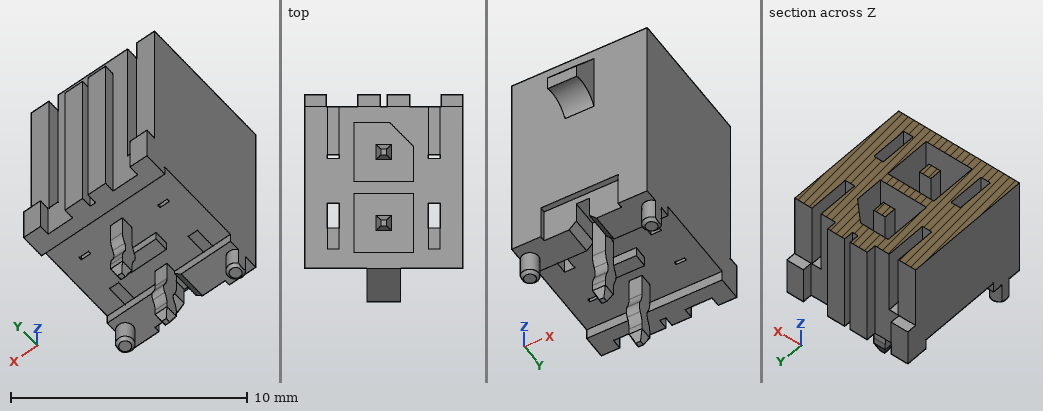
import cadquery as cq


WIDTH = 6.7
DEPTH = 6.84
HEIGHT = 9.9
TOTAL_HEIGHT = 13.1
FRONT = -DEPTH / 2
BACK = DEPTH / 2

CHANNEL_HEIGHT = 0.52
CHANNEL_FRONT = -1.7
CHANNEL_BACK = 2.72

SPACER_WIDTH = 1.91
SPACER_DEPTH = 0.7
SPACER_CLEARANCE = 0.04

PITCH = 3.0
ROW_POSITIONS = (-PITCH / 2, PITCH / 2)
CAVITY_WIDTH = 2.53
CAVITY_DEPTH = 2.49
CAVITY_FLOOR = 2.28
KEY_CHAMFER = 1.01

CONTACT_SIZE = 0.64
CONTACT_TOP = 7.2
CONTACT_BOTTOM = HEIGHT - TOTAL_HEIGHT
TIP_SIZE = 0.25
TIP_LENGTH = 0.48
BEND_OFFSET = 0.22
BEND_TOP = -0.6
BEND_BOTTOM = -2.4
BEND_ARC_HEIGHT = 0.59

SLOT_WIDTH = 0.5
SLOT_X = 2.14
FRONT_SLOT_START = -2.61
FRONT_SLOT_END = -0.67
REAR_SLOT_START = 1.23
REAR_LEDGE_START = 1.38

RIB_DEPTH = 0.51
OUTER_RIB_WIDTH = 0.92
OUTER_RIB_HEIGHT = 1.91
INNER_RIB_WIDTH = 0.95
INNER_RIB_GAP = 0.29
INNER_RIB_HEIGHT = 8.75

RECESS_WIDTH = 3.81
RECESS_HEIGHT = 1.74
RECESS_DEPTH = 0.28
GROOVE_HEIGHT = 1.39
GROOVE_FLARE = 0.35

LATCH_WIDTH = 1.43
LATCH_REACH = 1.41
LATCH_TOP = 9.4
LATCH_NOSE_TOP = 7.75
LATCH_NOSE_BOTTOM = 7.1
LATCH_ARC_REACH = 1.03
LATCH_ARC_TOP = 7.17
LATCH_BOTTOM = 6.52

PEG_DIAMETER = 0.84
PEG_LENGTH = 1.15
PEG_CHAMFER = 0.15
PEG_X = 3.0
PEG_Y = -2.49


def block(x_range, y_range, z_range):
    """Box between the given (low, high) limits."""
    limits = (x_range, y_range, z_range)
    sizes = [high - low for low, high in limits]
    corner = tuple(low for low, high in limits)
    return cq.Workplane("XY").box(*sizes, centered=False).translate(corner)


def centred(size, middle=0):
    """Low and high limits of a length about its middle."""
    return (middle - size / 2, middle + size / 2)


def make_housing():
    body = block(centred(WIDTH), (FRONT, BACK), (0, HEIGHT))
    for side in (-1, 1):
        outer_x = side * (WIDTH - OUTER_RIB_WIDTH) / 2
        inner_x = side * (INNER_RIB_GAP + INNER_RIB_WIDTH) / 2
        rib_y = (BACK, BACK + RIB_DEPTH)
        body = body.union(block(centred(OUTER_RIB_WIDTH, outer_x), rib_y, (0, OUTER_RIB_HEIGHT)))
        body = body.union(block(centred(INNER_RIB_WIDTH, inner_x), rib_y, (0, INNER_RIB_HEIGHT)))
    body = body.cut(block(centred(WIDTH), (CHANNEL_FRONT, CHANNEL_BACK), (0, CHANNEL_HEIGHT)))
    return body.union(
        block(centred(SPACER_WIDTH), centred(SPACER_DEPTH), (SPACER_CLEARANCE, CHANNEL_HEIGHT))
    )


def cut_cavities(body):
    for row_y in ROW_POSITIONS:
        cavity = block(
            centred(CAVITY_WIDTH), centred(CAVITY_DEPTH, row_y), (CAVITY_FLOOR, HEIGHT)
        )
        if row_y > 0:
            cavity = cavity.edges("|Z and >X and >Y").chamfer(KEY_CHAMFER)
        body = body.cut(cavity)
    return body


def cut_slots(body):
    for side in (-1, 1):
        slot_x = centred(SLOT_WIDTH, side * SLOT_X)
        body = body.cut(block(slot_x, (FRONT_SLOT_START, FRONT_SLOT_END), (CHANNEL_HEIGHT, HEIGHT)))
        body = body.cut(block(slot_x, (REAR_SLOT_START, BACK), (OUTER_RIB_HEIGHT, HEIGHT)))
        body = body.cut(
            block(slot_x, (REAR_SLOT_START, REAR_LEDGE_START), (CHANNEL_HEIGHT, HEIGHT))
        )
    return body


def cut_front_recess(body):
    body = body.cut(block(centred(RECESS_WIDTH), (FRONT, FRONT + RECESS_DEPTH), (0, RECESS_HEIGHT)))
    half = CONTACT_SIZE / 2
    groove = (
        cq.Workplane("XZ", origin=(0, FRONT, 0))
        .moveTo(-half - GROOVE_FLARE, 0)
        .lineTo(-half, GROOVE_FLARE)
        .lineTo(-half, GROOVE_HEIGHT)
        .lineTo(half, GROOVE_HEIGHT)
        .lineTo(half, GROOVE_FLARE)
        .lineTo(half + GROOVE_FLARE, 0)
        .close()
        .extrude(FRONT - CHANNEL_FRONT)
    )
    return body.cut(groove)


def make_latch():
    return (
        cq.Workplane("YZ")
        .moveTo(FRONT, LATCH_TOP)
        .lineTo(FRONT - LATCH_REACH, LATCH_NOSE_TOP)
        .lineTo(FRONT - LATCH_REACH, LATCH_NOSE_BOTTOM)
        .threePointArc((FRONT - LATCH_ARC_REACH, LATCH_ARC_TOP), (FRONT, LATCH_BOTTOM))
        .close()
        .extrude(LATCH_WIDTH / 2, both=True)
    )


def make_pegs():
    pegs = (
        cq.Workplane("XY")
        .pushPoints([(-PEG_X, PEG_Y), (PEG_X, PEG_Y)])
        .circle(PEG_DIAMETER / 2)
        .extrude(-PEG_LENGTH)
        .faces("<Z")
        .chamfer(PEG_CHAMFER)
    )
    return pegs.intersect(block(centred(WIDTH), (FRONT, BACK), (-PEG_LENGTH, 0)))


def make_tip(row_y, base_z, direction):
    """Truncated pyramid on a contact end, pointing up (1) or down (-1)."""
    return (
        cq.Workplane("XY", origin=(0, row_y, base_z))
        .rect(CONTACT_SIZE, CONTACT_SIZE)
        .workplane(offset=direction * TIP_LENGTH)
        .rect(TIP_SIZE, TIP_SIZE)
        .loft()
    )


def make_contact(row_y):
    """Square contact whose tail kinks towards the housing middle."""
    top = CONTACT_TOP - TIP_LENGTH
    bottom = CONTACT_BOTTOM + TIP_LENGTH
    kink = -BEND_OFFSET if row_y > 0 else BEND_OFFSET
    upper_z = BEND_TOP - BEND_ARC_HEIGHT
    lower_z = BEND_BOTTOM + BEND_ARC_HEIGHT
    half_bend_height = (BEND_TOP - BEND_BOTTOM) / 2
    turn = kink * BEND_ARC_HEIGHT / half_bend_height
    near = row_y - CONTACT_SIZE / 2
    far = row_y + CONTACT_SIZE / 2
    shank = (
        cq.Workplane("YZ")
        .moveTo(near, top)
        .lineTo(near, BEND_TOP)
        .tangentArcPoint((near + turn, upper_z), relative=False)
        .tangentArcPoint((near + turn, lower_z), relative=False)
        .tangentArcPoint((near, BEND_BOTTOM), relative=False)
        .lineTo(near, bottom)
        .lineTo(far, bottom)
        .lineTo(far, BEND_BOTTOM)
        .tangentArcPoint((far + turn, lower_z), relative=False)
        .tangentArcPoint((far + turn, upper_z), relative=False)
        .tangentArcPoint((far, BEND_TOP), relative=False)
        .lineTo(far, top)
        .close()
        .extrude(CONTACT_SIZE / 2, both=True)
    )
    return shank.union(make_tip(row_y, top, 1)).union(make_tip(row_y, bottom, -1))


result = make_housing()
result = cut_cavities(result)
result = cut_slots(result)
result = cut_front_recess(result)
result = result.union(make_latch()).union(make_pegs())
for contact_y in ROW_POSITIONS:
    result = result.union(make_contact(contact_y))